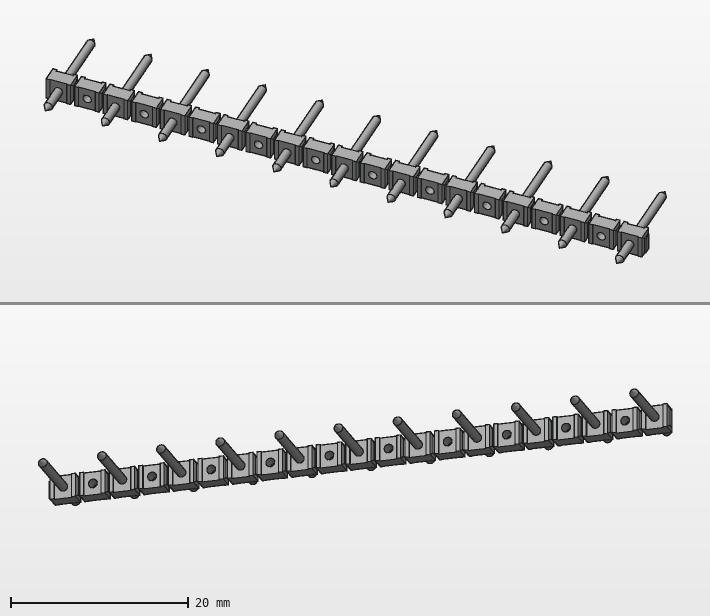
import cadquery as cq

row_length = 73.4
block_count = 21
block_length = 3.3
block_depth = 2.0
block_height = 2.8
end_taper = 0.15

end_nub = 0.15
neck_depth = 0.9
neck_height = 2.05
neck_offset = -0.1

groove_width = 2.05
front_groove = 0.1
back_groove = 0.2

pin_diameter = 1.0
pin_front = 3.75
pin_back = 8.3
tip_length = 0.9

pitch = (row_length - block_length - end_nub) / (block_count - 1)
neck_length = pitch - block_length
first_center = (block_length - row_length) / 2
front_y = -block_depth / 2
back_y = block_depth / 2


def tapered_end(x_face, direction):
    """Frustum from the full block section down to the neck section."""
    return (
        cq.Workplane("YZ", origin=(x_face, 0, 0))
        .rect(block_depth, block_height)
        .workplane(offset=direction * end_taper)
        .center(neck_offset, 0)
        .rect(neck_depth, neck_height)
        .loft(ruled=True)
    )


def block():
    """One housing block with tapered ends and grooved front and back faces."""
    straight_length = block_length - 2 * end_taper
    body = cq.Workplane("XY").box(straight_length, block_depth, block_height)
    for direction in (-1, 1):
        body = body.union(tapered_end(direction * straight_length / 2, direction))
    for face_y, depth in ((front_y, front_groove), (back_y, back_groove)):
        groove = cq.Workplane("XY").box(groove_width, 2 * depth, block_height)
        body = body.cut(groove.translate((0, face_y, 0)))
    return body


def neck(length):
    """Break-off neck reaching from the +X end of a block at the origin."""
    return (
        cq.Workplane("YZ", origin=(block_length / 2, neck_offset, 0))
        .rect(neck_depth, neck_height)
        .extrude(length)
    )


def pin():
    """Round pin along Y with a conical point at both ends."""
    radius = pin_diameter / 2
    front_tip = front_y - pin_front
    back_tip = back_y + pin_back
    return (
        cq.Workplane("XY")
        .moveTo(0, front_tip)
        .lineTo(radius, front_tip + tip_length)
        .lineTo(radius, back_tip - tip_length)
        .lineTo(0, back_tip)
        .close()
        .revolve(360, (0, 0, 0), (0, 1, 0))
    )


def pin_hole():
    """Hole along Y through the full depth of a block."""
    return (
        cq.Workplane("XZ", origin=(0, back_y, 0))
        .circle(pin_diameter / 2)
        .extrude(block_depth)
    )


pin_block = block().union(pin())
hole_block = block().cut(pin_hole())

result = cq.Workplane("XY")
for index in range(block_count):
    has_pin = index % 2 == 0
    is_last = index == block_count - 1
    module = pin_block if has_pin else hole_block
    module = module.union(neck(end_nub if is_last else neck_length))
    result = result.union(module.translate((first_center + index * pitch, 0, 0)))